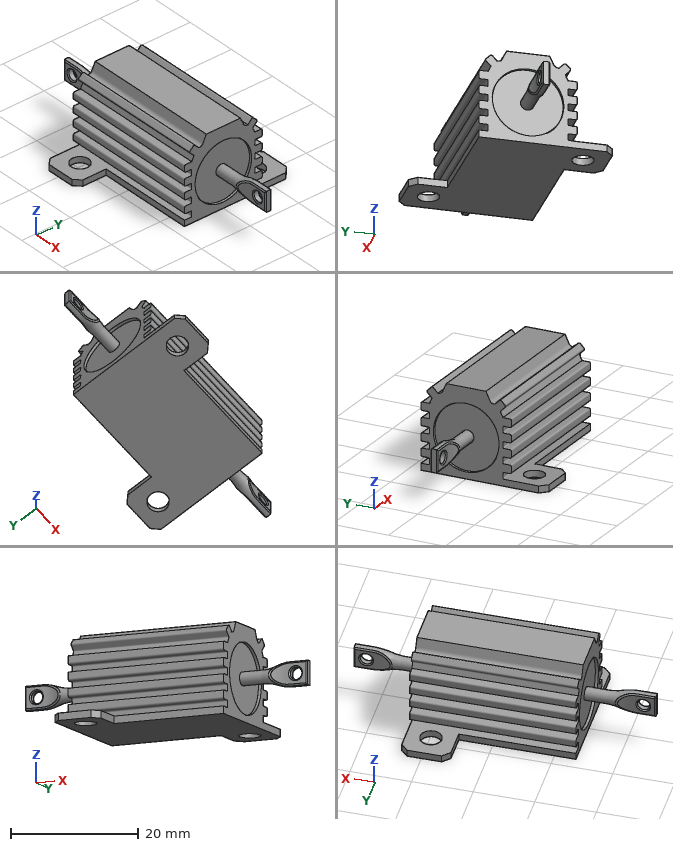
import cadquery as cq
import math

BODY_LENGTH = 27.0
BODY_HALF_WIDTH = 8.0
BODY_HEIGHT = 15.5
BASE_THICKNESS = 1.2
WALL_HALF_WIDTH = 6.5
TOP_HALF_WIDTH = 3.5

FIN_COUNT = 4
FIN_PITCH = 2.6
FIN_THICKNESS = 1.45
FIRST_FIN_BOTTOM = 2.35
FIN_TIP_RADIUS = 0.3
FIN_ROOT_RADIUS = 0.2

SHOULDER_FIN_TIP_SUM = 20.6
SHOULDER_FIN_LOWER_DIFFERENCE = 6.53
SHOULDER_FIN_UPPER_DIFFERENCE = SHOULDER_FIN_LOWER_DIFFERENCE + FIN_THICKNESS * math.sqrt(2)
SHOULDER_ROOT_Y = 6.03
VALLEY_Z = 13.6
VALLEY_INNER_Y = 4.4
VALLEY_RADIUS = 0.8

TAB_WIDTH = 8.0
TAB_TIP_Y = 14.0
TAB_CHAMFER = 1.2
TAB_HOLE_DIAMETER = 3.5
TAB_HOLE_SETBACK = 4.0

AXIS_Z = 7.0
CORE_DIAMETER = 11.6
CORE_RECESS = 0.5
CORE_LENGTH = BODY_LENGTH - 2 * CORE_RECESS

TERMINAL_TIP_X = 24.5
LEAD_RADIUS = 1.1
LEAD_FLARE_X = 16.8
EYELET_HALF_HEIGHT = 2.0
EYELET_FLARE_X = 21.5
EYELET_THICKNESS = 1.3
PRESS_FLAT_END_X = 20.9
PRESS_RUNOUT_X = 18.2
PRESS_RUNOUT_HALF_THICKNESS = 1.33
EYELET_CHAMFER = 0.2
EYELET_HOLE_DIAMETER = 2.0
EYELET_HOLE_SETBACK = 2.0


def rounded_outline(workplane, corners):
    """Closed outline through (u, v, radius) corners; a radius of zero leaves the corner sharp."""
    points = []
    for index, (u, v, radius) in enumerate(corners):
        corner = cq.Vector(u, v)
        previous = cq.Vector(*corners[index - 1][:2])
        following = cq.Vector(*corners[(index + 1) % len(corners)][:2])
        back = (previous - corner).normalized()
        ahead = (following - corner).normalized()
        half_angle = back.getAngle(ahead) / 2
        setback = radius / math.tan(half_angle)
        bisector = (back + ahead).normalized()
        middle = corner + bisector * (radius / math.sin(half_angle) - radius)
        points.append((corner + back * setback, middle, corner + ahead * setback, radius))
    outline = workplane.moveTo(*points[0][2].toTuple()[:2])
    for start, middle, end, radius in points[1:] + points[:1]:
        outline = outline.lineTo(*start.toTuple()[:2])
        if radius > 0:
            outline = outline.threePointArc(middle.toTuple()[:2], end.toTuple()[:2])
    return outline.close()


def housing_side_corners():
    """Corners of the +Y half of the housing section, from the base up to the top face."""
    corners = [
        (BODY_HALF_WIDTH, 0, 0),
        (BODY_HALF_WIDTH, BASE_THICKNESS, 0),
        (WALL_HALF_WIDTH, BASE_THICKNESS, FIN_ROOT_RADIUS),
    ]
    for index in range(FIN_COUNT):
        bottom = FIRST_FIN_BOTTOM + index * FIN_PITCH
        top = bottom + FIN_THICKNESS
        is_top_fin = index == FIN_COUNT - 1
        corners += [
            (WALL_HALF_WIDTH, bottom, FIN_ROOT_RADIUS),
            (BODY_HALF_WIDTH, bottom, FIN_TIP_RADIUS),
            (BODY_HALF_WIDTH, top, FIN_TIP_RADIUS),
            (WALL_HALF_WIDTH, top, 0 if is_top_fin else FIN_ROOT_RADIUS),
        ]
    lower_tip_y = (SHOULDER_FIN_TIP_SUM - SHOULDER_FIN_LOWER_DIFFERENCE) / 2
    upper_tip_y = (SHOULDER_FIN_TIP_SUM - SHOULDER_FIN_UPPER_DIFFERENCE) / 2
    corners += [
        (SHOULDER_ROOT_Y, SHOULDER_ROOT_Y + SHOULDER_FIN_LOWER_DIFFERENCE, FIN_ROOT_RADIUS),
        (lower_tip_y, SHOULDER_FIN_TIP_SUM - lower_tip_y, FIN_TIP_RADIUS),
        (upper_tip_y, SHOULDER_FIN_TIP_SUM - upper_tip_y, FIN_TIP_RADIUS),
        (VALLEY_Z - SHOULDER_FIN_UPPER_DIFFERENCE, VALLEY_Z, 0),
        (VALLEY_INNER_Y, VALLEY_Z, VALLEY_RADIUS),
        (TOP_HALF_WIDTH, BODY_HEIGHT, 0),
    ]
    return corners


def make_tab():
    """Tab on the -Y side, flush with the -X end of the housing."""
    tab_length = TAB_TIP_Y - WALL_HALF_WIDTH
    tab = (
        cq.Workplane("XY")
        .box(TAB_WIDTH, tab_length, BASE_THICKNESS, centered=(True, False, False))
        .edges("|Z and <Y")
        .chamfer(TAB_CHAMFER)
    )
    hole = (
        cq.Workplane("XY")
        .center(0, TAB_HOLE_SETBACK)
        .circle(TAB_HOLE_DIAMETER / 2)
        .extrude(BASE_THICKNESS)
    )
    return tab.cut(hole).translate(((TAB_WIDTH - BODY_LENGTH) / 2, -TAB_TIP_Y, 0))


def make_housing():
    side = housing_side_corners()
    mirrored_side = [(-y, z, radius) for y, z, radius in reversed(side)]
    section = cq.Workplane("YZ", origin=(-BODY_LENGTH / 2, 0, 0))
    body = rounded_outline(section, side + mirrored_side).extrude(BODY_LENGTH)
    tab = make_tab()
    for angle in (0, 180):
        body = body.union(tab.rotate((0, 0, 0), (0, 0, 1), angle))
    bore = section.center(0, AXIS_Z).circle(CORE_DIAMETER / 2).extrude(BODY_LENGTH)
    return body.cut(bore)


def make_core():
    return (
        cq.Workplane("YZ", origin=(-CORE_LENGTH / 2, 0, AXIS_Z))
        .circle(CORE_DIAMETER / 2)
        .extrude(CORE_LENGTH)
    )


def make_terminal():
    """Terminal on the +X end, standing on the core face."""
    lead_start_x = CORE_LENGTH / 2
    flared_lead = (
        cq.Workplane("XZ")
        .moveTo(lead_start_x, 0)
        .lineTo(lead_start_x, LEAD_RADIUS)
        .lineTo(LEAD_FLARE_X, LEAD_RADIUS)
        .spline([(EYELET_FLARE_X, EYELET_HALF_HEIGHT)], tangents=[(1, 0), (1, 0)], includeCurrent=True)
        .lineTo(TERMINAL_TIP_X, EYELET_HALF_HEIGHT)
        .lineTo(TERMINAL_TIP_X, 0)
        .close()
        .revolve(360, (0, 0, 0), (1, 0, 0))
    )
    pressed_away = (
        cq.Workplane("XY", origin=(0, 0, -EYELET_HALF_HEIGHT))
        .moveTo(TERMINAL_TIP_X, EYELET_THICKNESS / 2)
        .lineTo(PRESS_FLAT_END_X, EYELET_THICKNESS / 2)
        .tangentArcPoint((PRESS_RUNOUT_X, PRESS_RUNOUT_HALF_THICKNESS), relative=False)
        .lineTo(PRESS_RUNOUT_X, EYELET_HALF_HEIGHT)
        .lineTo(TERMINAL_TIP_X, EYELET_HALF_HEIGHT)
        .close()
        .extrude(2 * EYELET_HALF_HEIGHT)
    )
    terminal = flared_lead.cut(pressed_away).cut(pressed_away.mirror("XZ"))
    hole = (
        cq.Workplane("XZ", origin=(TERMINAL_TIP_X - EYELET_HOLE_SETBACK, 0, 0))
        .circle(EYELET_HOLE_DIAMETER / 2)
        .extrude(EYELET_THICKNESS, both=True)
    )
    terminal = terminal.cut(hole)
    terminal = terminal.faces("|Y").edges().chamfer(EYELET_CHAMFER)
    return terminal.translate((0, 0, AXIS_Z))


housing = make_housing()
core = make_core()
terminal = make_terminal()
terminals = [terminal.rotate((0, 0, 0), (0, 0, 1), angle) for angle in (0, 180)]

result = cq.Compound.makeCompound([housing.val(), core.val(), *[item.val() for item in terminals]])